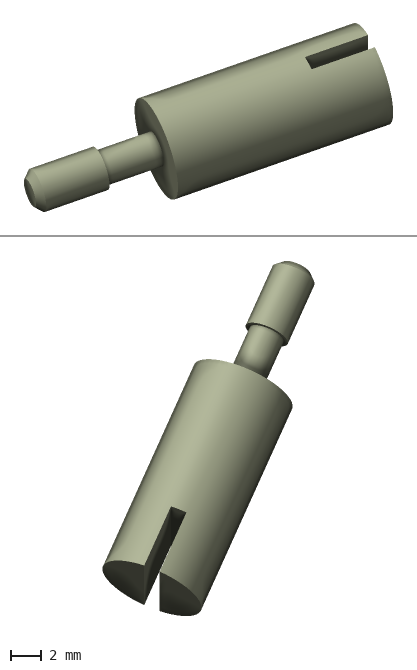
import cadquery as cq

total_length = 24.3
body_length = 15.3
tip_length = 5.0
neck_length = total_length - body_length - tip_length

body_diameter = 7.0
neck_diameter = 2.4
tip_diameter = 3.0

tip_chamfer = 0.5
slot_width = 1.1
slot_depth = 4.5


def cylinder_along_y(start, length, diameter):
    """Cylinder on the Y axis, running from start toward +Y."""
    base = cq.Workplane("XZ", origin=(0, start, 0))
    return base.circle(diameter / 2).extrude(-length)


tip = cylinder_along_y(0, tip_length, tip_diameter).faces("<Y").chamfer(tip_chamfer)
neck = cylinder_along_y(tip_length, neck_length, neck_diameter)

body = cylinder_along_y(tip_length + neck_length, body_length, body_diameter)

slot = cq.Workplane("XY").box(slot_width, slot_depth, body_diameter)
slot = slot.translate((0, total_length - slot_depth / 2, 0))

result = tip.union(neck).union(body).cut(slot)